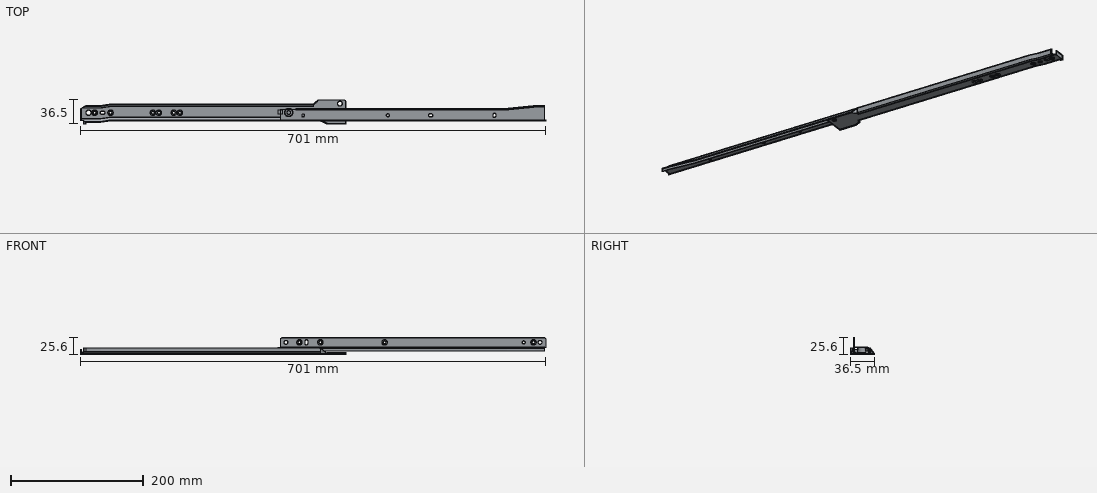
import cadquery as cq
import math

LENGTH = 701.0
WIDTH = 36.5
SHEET = 1.2

CABINET_LENGTH = 399.5
CABINET_RIM = 10.0
LOWER_FLANGE = -13.0
UPPER_FLANGE = 12.0
LOWER_SLOPE_RISE = 3.85
LOWER_SLOPE_RUN = 5.25
UPPER_SLOPE_RISE = 1.5
UPPER_SLOPE_RUN = 3.5
REAR_SHIFT = -2.0
REAR_SHIFT_END = 30.0
STRAIGHT_START = 44.0
UPPER_FLANGE_END = 350.5
UPPER_EAR_START = 357.5
LOWER_FLANGE_END = 361.0
LOWER_EAR_START = 371.5
EAR_CORNER = 2.0
EAR_RIM = 3.0
EAR_HOLE_X = 390.0
EAR_HOLE_Y = 12.5
EAR_HOLE_DIAMETER = 7.0
END_WALL_HEIGHT = 8.0
REAR_CORNER_X = 8.0
REAR_CORNER_Y = 5.0
FOOT_START = 4.0
FOOT_END = 8.0

DRAWER_START = 300.5
LEDGE_FACE = -13.0
RAIL_GAP = 0.35
WEB_BOTTOM = CABINET_RIM + RAIL_GAP
WEB_TOP = WEB_BOTTOM + SHEET
LEDGE_RISE = 14.0
HEIGHT = WEB_TOP + LEDGE_RISE
WEB_EDGE = 5.5
LIP_BOTTOM = 5.0
LIP_START = 324.5
LIP_BEND = 1.75
LEDGE_BEND = 1.05
FLARE_START = 642.5
FLARE_END = 685.0
FLARED_EDGE = 10.0
WEB_END = 699.0
LEDGE_CORNER = 2.0
TONGUE_LENGTH = 3.5
TONGUE_WIDTH = 5.5
ROLLER_X = 313.0
ROLLER_Y = -1.0
ROLLER_DIAMETER = 12.5
ROLLER_BOTTOM = 3.0
RIVET_DIAMETER = 11.0
RIVET_GROOVE = 3.0
RIVET_GROOVE_DEPTH = 0.35

SMALL_HOLE = 4.0
SINK_DIAMETER = 8.5
SINK_DEPTH = 0.85
CABINET_HOLE_Y = -1.05
CABINET_SINK_XS = (21.0, 45.0, 108.5, 118.0, 140.0, 149.0)
CABINET_SLOT_X = 33.0
CABINET_SLOT_LENGTH = 7.0
REAR_HOLE_X = 12.0
REAR_HOLE_DIAMETER = 8.0
LEDGE_HOLE_Z = 18.0
LEDGE_SINK_XS = (329.5, 361.0, 457.5, 682.0)
LEDGE_HOLES = ((309.0, 5.5), (667.0, 4.0), (692.0, 5.5))
LEDGE_SLOT_X = 340.0
LEDGE_SLOT_LENGTH = 8.0
WEB_HOLE_Y = -5.0
WEB_HOLE_XS = (335.0, 462.5)
WEB_SLOT_X = 527.0
WEB_CROSS_SLOT_X = 623.0
WEB_SLOT_LENGTH = 6.0


def box(x0, x1, y0, y1, z0, z1):
    """Block between two opposite corners."""
    return cq.Workplane("XY").box(x1 - x0, y1 - y0, z1 - z0, centered=False).translate((x0, y0, z0))


def channel_points(shift):
    """Channel section as (Y, Z) points, moved sideways by `shift`."""
    low_angle = math.atan2(LOWER_SLOPE_RISE, LOWER_SLOPE_RUN)
    high_angle = math.atan2(UPPER_SLOPE_RISE, UPPER_SLOPE_RUN)
    low_floor = LOWER_FLANGE + LOWER_SLOPE_RUN
    high_floor = UPPER_FLANGE - UPPER_SLOPE_RUN
    outer = [
        (LOWER_FLANGE, CABINET_RIM),
        (LOWER_FLANGE, LOWER_SLOPE_RISE),
        (low_floor, 0),
        (high_floor, 0),
        (UPPER_FLANGE, UPPER_SLOPE_RISE),
        (UPPER_FLANGE, CABINET_RIM),
    ]
    inner = [
        (UPPER_FLANGE - SHEET, CABINET_RIM),
        (UPPER_FLANGE - SHEET, UPPER_SLOPE_RISE + SHEET * math.tan(math.pi / 4 - high_angle / 2)),
        (high_floor - SHEET * math.tan(high_angle / 2), SHEET),
        (low_floor + SHEET * math.tan(low_angle / 2), SHEET),
        (LOWER_FLANGE + SHEET, LOWER_SLOPE_RISE + SHEET * math.tan(math.pi / 4 - low_angle / 2)),
        (LOWER_FLANGE + SHEET, CABINET_RIM),
    ]
    return [(y + shift, z) for y, z in outer + inner]


def section(x, points):
    """Closed wire of (Y, Z) points in the plane at `x`."""
    return cq.Wire.makePolygon([cq.Vector(x, y, z) for y, z in points], close=True)


def loft(x0, points0, x1, points1):
    """Ruled solid between two sections across X."""
    return cq.Workplane(cq.Solid.makeLoft([section(x0, points0), section(x1, points1)], True))


def rectangle(y0, y1, z0, z1):
    """Corners of a rectangle as (Y, Z) points."""
    return [(y0, z0), (y1, z0), (y1, z1), (y0, z1)]


def drill(x, y, diameter):
    """Drill along Z, through any of the sheets."""
    return cq.Workplane("XY").center(x, y).circle(diameter / 2).extrude(HEIGHT)


def slot(x, y, length, angle=0):
    """Slot cutter along Z."""
    return cq.Workplane("XY").center(x, y).slot2D(length, SMALL_HOLE, angle).extrude(HEIGHT)


def sink(x, y, surface):
    """Countersunk hole cutter along Z that opens upward at the height `surface`."""
    cone = cq.Solid.makeCone(
        SMALL_HOLE / 2, SINK_DIAMETER / 2, SINK_DEPTH, cq.Vector(x, y, surface - SINK_DEPTH)
    )
    return cq.Workplane(cone).union(drill(x, y, SMALL_HOLE))


def flange_end(flange, inside, edge, x0, x1):
    """Flange folding outward and down from its full height to the flat ear edge."""
    y0, y1 = sorted((flange, inside))
    e0, e1 = sorted((edge, edge + inside - flange))
    return loft(x0, rectangle(y0, y1, 0, CABINET_RIM), x1, rectangle(e0, e1, 0, SHEET))


def make_cabinet_rail():
    """Channel with ears at the front end and a closed, offset rear end."""
    straight = channel_points(0)
    shifted = channel_points(REAR_SHIFT)
    rail = loft(STRAIGHT_START, straight, CABINET_LENGTH, straight)
    rail = rail.union(loft(REAR_SHIFT_END, shifted, STRAIGHT_START, straight))
    rail = rail.union(loft(0, shifted, REAR_SHIFT_END, shifted))

    upper_floor = UPPER_FLANGE - UPPER_SLOPE_RUN - SHEET
    lower_floor = LOWER_FLANGE + LOWER_SLOPE_RUN + SHEET
    edge = WIDTH / 2
    rail = rail.cut(box(UPPER_FLANGE_END, CABINET_LENGTH, upper_floor, edge, 0, HEIGHT))
    rail = rail.cut(box(LOWER_FLANGE_END, CABINET_LENGTH, -edge, lower_floor, 0, HEIGHT))
    ears = (
        cq.Workplane("XY")
        .polyline([
            (UPPER_FLANGE_END, upper_floor),
            (UPPER_FLANGE_END, UPPER_FLANGE),
            (UPPER_EAR_START, edge),
            (CABINET_LENGTH - EAR_CORNER, edge),
            (CABINET_LENGTH, edge - EAR_CORNER),
            (CABINET_LENGTH, -edge),
            (LOWER_EAR_START, -edge),
            (LOWER_FLANGE_END, LOWER_FLANGE),
            (LOWER_FLANGE_END, lower_floor),
            (UPPER_FLANGE_END, lower_floor),
        ])
        .close()
        .extrude(SHEET)
    )
    rail = rail.union(ears)
    rail = rail.union(
        flange_end(UPPER_FLANGE, UPPER_FLANGE - SHEET, edge, UPPER_FLANGE_END, UPPER_EAR_START)
    )
    rail = rail.union(
        flange_end(LOWER_FLANGE, LOWER_FLANGE + SHEET, -edge, LOWER_FLANGE_END, LOWER_EAR_START)
    )
    rail = rail.union(box(LOWER_EAR_START, CABINET_LENGTH, -edge, -edge + SHEET, 0, EAR_RIM))
    rail = rail.cut(drill(EAR_HOLE_X, EAR_HOLE_Y, EAR_HOLE_DIAMETER))

    corner = (
        cq.Workplane("XY")
        .polyline([(0, REAR_CORNER_Y), (0, WIDTH), (REAR_CORNER_X, WIDTH),
                   (REAR_CORNER_X, UPPER_FLANGE + REAR_SHIFT)])
        .close()
        .extrude(HEIGHT)
    )
    rail = rail.cut(corner)
    lower_face = LOWER_FLANGE + REAR_SHIFT
    rail = rail.cut(box(0, FOOT_START, -WIDTH, lower_face + 2 * SHEET, 0, HEIGHT))
    rail = rail.union(box(0, SHEET, lower_face + 2 * SHEET, REAR_CORNER_Y, 0, END_WALL_HEIGHT))
    rail = rail.union(box(FOOT_START, FOOT_END, -edge, lower_face + SHEET, LOWER_SLOPE_RISE, CABINET_RIM))

    rail = rail.cut(drill(REAR_HOLE_X, CABINET_HOLE_Y, REAR_HOLE_DIAMETER))
    rail = rail.cut(slot(CABINET_SLOT_X, CABINET_HOLE_Y, CABINET_SLOT_LENGTH))
    for x in CABINET_SINK_XS:
        rail = rail.cut(sink(x, CABINET_HOLE_Y, SHEET))
    return rail


def lip_points(edge):
    """Outer part of the web with the lip bent down at `edge`, as (Y, Z) points."""
    root = WEB_EDGE - 2 * LIP_BEND
    return [
        (root, WEB_TOP),
        (edge - LIP_BEND, WEB_TOP),
        (edge, WEB_TOP - LIP_BEND),
        (edge, LIP_BOTTOM),
        (edge - SHEET, LIP_BOTTOM),
        (edge - SHEET, WEB_BOTTOM - LIP_BEND / 2),
        (edge - LIP_BEND - SHEET / 2, WEB_BOTTOM),
        (root, WEB_BOTTOM),
    ]


def lay_down(cutter):
    """Turn a cutter along Z into one along Y: its old Y becomes Z, its top faces -Y."""
    return cutter.rotate((0, 0, 0), (1, 0, 0), 90)


def make_drawer_rail():
    """Flat web with an upright ledge, a turned-down lip and a fixed roller."""
    rail = box(DRAWER_START, WEB_END, LEDGE_FACE, WEB_EDGE - LIP_BEND, WEB_BOTTOM, WEB_TOP)
    ledge = box(DRAWER_START, LENGTH, LEDGE_FACE, LEDGE_FACE + SHEET, WEB_BOTTOM, HEIGHT)
    ledge = ledge.faces(">Z").edges("|Y").chamfer(LEDGE_CORNER)
    rail = rail.union(ledge)
    rail = rail.edges("|X and <Y and <Z").fillet(LEDGE_BEND)

    narrow = lip_points(WEB_EDGE)
    wide = lip_points(FLARED_EDGE)
    rail = rail.union(loft(LIP_START, narrow, FLARE_START, narrow))
    rail = rail.union(loft(FLARE_START, narrow, FLARE_END, wide))
    rail = rail.union(loft(FLARE_END, wide, WEB_END, wide))

    rail = rail.union(
        box(DRAWER_START - TONGUE_LENGTH, DRAWER_START + TONGUE_LENGTH,
            -TONGUE_WIDTH / 2, TONGUE_WIDTH / 2, WEB_BOTTOM - SHEET, WEB_BOTTOM)
    )
    roller = cq.Workplane("XY", origin=(ROLLER_X, ROLLER_Y, ROLLER_BOTTOM))
    rail = rail.union(roller.circle(ROLLER_DIAMETER / 2).extrude(WEB_BOTTOM - ROLLER_BOTTOM))
    groove = (
        cq.Workplane("XY", origin=(ROLLER_X, ROLLER_Y, WEB_TOP - RIVET_GROOVE_DEPTH))
        .circle(RIVET_DIAMETER / 2)
        .circle(RIVET_DIAMETER / 2 - RIVET_GROOVE)
        .extrude(SHEET)
    )
    rail = rail.cut(groove)

    for x in WEB_HOLE_XS:
        rail = rail.cut(drill(x, WEB_HOLE_Y, SMALL_HOLE))
    rail = rail.cut(slot(WEB_SLOT_X, WEB_HOLE_Y, WEB_SLOT_LENGTH))
    rail = rail.cut(slot(WEB_CROSS_SLOT_X, WEB_HOLE_Y, WEB_SLOT_LENGTH, 90))

    for x, diameter in LEDGE_HOLES:
        rail = rail.cut(lay_down(drill(x, LEDGE_HOLE_Z, diameter)))
    rail = rail.cut(lay_down(slot(LEDGE_SLOT_X, LEDGE_HOLE_Z, LEDGE_SLOT_LENGTH, 90)))
    for x in LEDGE_SINK_XS:
        rail = rail.cut(lay_down(sink(x, LEDGE_HOLE_Z, -LEDGE_FACE)))
    return rail


cabinet_rail = make_cabinet_rail()
drawer_rail = make_drawer_rail()
result = cq.Compound.makeCompound([cabinet_rail.val(), drawer_rail.val()])